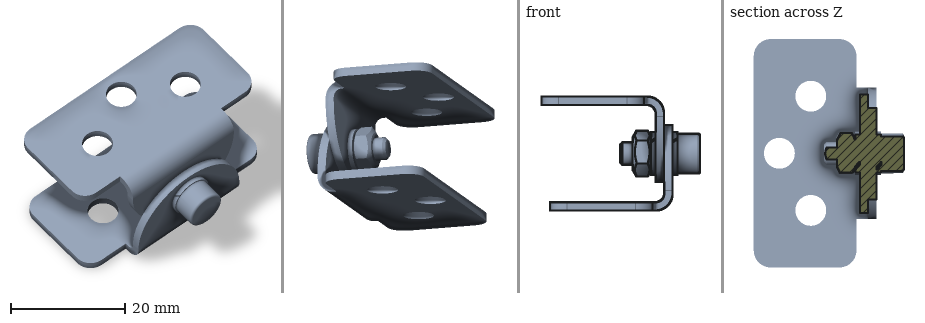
import cadquery as cq
import math


SHEET = 1.5
PLATE_WIDTH = 18.0
PLATE_LENGTH = 40.0
PLATE_CORNER_RADIUS = 3.0
PLATE_FACE_HEIGHT = 10.0
HOLE_DIAMETER = 5.4
EDGE_TO_MIDDLE_HOLE = 4.5
EDGE_TO_OUTER_HOLES = 10.0
OUTER_HOLE_OFFSET = 10.0
BEND_INNER_RADIUS = 1.5
BEND_OUTER_RADIUS = BEND_INNER_RADIUS + SHEET
NECK_LENGTH = 0.5
TAB_RADIUS = 11.5
TAB_REACH = 5.0
TAB_ARC_HEIGHT = TAB_RADIUS - TAB_REACH

WASHER_DIAMETER = 7.6
WASHER_THICKNESS = 0.8
SLIT_WIDTH = 0.2
SLIT_POSITION = 38.0
SLIT_SLANT = 35.0

SCREW_DIAMETER = 4.0
SCREW_LENGTH = 10.0
SCREW_TIP_CHAMFER = 0.45
HEAD_DIAMETER = 7.0
HEAD_HEIGHT = 4.0
HEAD_FILLET = 0.4

NUT_ACROSS_FLATS = 7.0
NUT_SIDES = 6
HALF_SIDE_ANGLE = 180 / NUT_SIDES
NUT_ACROSS_CORNERS = NUT_ACROSS_FLATS / math.cos(math.radians(HALF_SIDE_ANGLE))
NUT_HEIGHT = 3.2
NUT_TURN = 5.0
NUT_CHAMFER_ANGLE = 30.0
NUT_OUTER_FACE_RADIUS = 2.85
NUT_SEAT_FACE_RADIUS = 3.05
NUT_ENVELOPE_MARGIN = 0.1

HEAD_SEAT_X = SHEET + WASHER_THICKNESS
NUT_SEAT_X = -SHEET - WASHER_THICKNESS


def cylinder_along_x(start, length, diameter):
    return cq.Workplane("YZ").workplane(offset=start).circle(diameter / 2).extrude(length)


def make_plate(free_edge):
    """Flat mounting plate with three holes."""
    plate = (
        cq.Workplane("XY")
        .box(PLATE_WIDTH, PLATE_LENGTH, SHEET, centered=(False, True, False))
        .edges("|Z")
        .fillet(PLATE_CORNER_RADIUS)
        .translate((free_edge, 0, PLATE_FACE_HEIGHT - SHEET))
    )
    hole_centers = [
        (free_edge + EDGE_TO_MIDDLE_HOLE, 0),
        (free_edge + EDGE_TO_OUTER_HOLES, OUTER_HOLE_OFFSET),
        (free_edge + EDGE_TO_OUTER_HOLES, -OUTER_HOLE_OFFSET),
    ]
    holes = (
        cq.Workplane("XY")
        .pushPoints(hole_centers)
        .circle(HOLE_DIAMETER / 2)
        .extrude(PLATE_FACE_HEIGHT)
    )
    return plate.cut(holes)


def make_bend(plate_edge):
    """Neck and quarter bend joining the plate to the tab."""
    bend_x = -BEND_OUTER_RADIUS
    bend_z = PLATE_FACE_HEIGHT - BEND_OUTER_RADIUS
    diagonal = math.sqrt(0.5)
    outer_middle = (bend_x + BEND_OUTER_RADIUS * diagonal, bend_z + BEND_OUTER_RADIUS * diagonal)
    inner_middle = (bend_x + BEND_INNER_RADIUS * diagonal, bend_z + BEND_INNER_RADIUS * diagonal)
    return (
        cq.Workplane("XZ")
        .moveTo(plate_edge, PLATE_FACE_HEIGHT)
        .lineTo(bend_x, PLATE_FACE_HEIGHT)
        .threePointArc(outer_middle, (0, bend_z))
        .lineTo(-SHEET, bend_z)
        .threePointArc(inner_middle, (bend_x, PLATE_FACE_HEIGHT - SHEET))
        .lineTo(plate_edge, PLATE_FACE_HEIGHT - SHEET)
        .close()
        .extrude(TAB_RADIUS, both=True)
    )


def make_tab():
    """Upright tab with a half-round end."""
    top = PLATE_FACE_HEIGHT - BEND_OUTER_RADIUS
    return (
        cq.Workplane("YZ")
        .moveTo(-TAB_RADIUS, top)
        .lineTo(-TAB_RADIUS, TAB_ARC_HEIGHT)
        .threePointArc((0, -TAB_REACH), (TAB_RADIUS, TAB_ARC_HEIGHT))
        .lineTo(TAB_RADIUS, top)
        .close()
        .extrude(-SHEET)
    )


def make_bracket():
    """Upper bracket, its tab ending on the plane X = 0."""
    plate_edge = -BEND_OUTER_RADIUS - NECK_LENGTH
    plate = make_plate(plate_edge - PLATE_WIDTH)
    return plate.union(make_bend(plate_edge)).union(make_tab())


def make_spring_washer(start):
    """Washer split by one slanted slit."""
    washer = cylinder_along_x(start, WASHER_THICKNESS, WASHER_DIAMETER)
    slit_length = 3 * WASHER_THICKNESS
    slit = (
        cq.Workplane("XY")
        .box(slit_length, WASHER_DIAMETER, SLIT_WIDTH)
        .translate((0, -WASHER_DIAMETER / 2, 0))
        .rotate((0, 0, 0), (0, 1, 0), -SLIT_SLANT)
        .rotate((0, 0, 0), (1, 0, 0), -SLIT_POSITION)
        .translate((start + WASHER_THICKNESS / 2, 0, 0))
    )
    return washer.cut(slit)


def make_screw():
    """Cap screw with its head on the +X side."""
    head = (
        cylinder_along_x(HEAD_SEAT_X, HEAD_HEIGHT, HEAD_DIAMETER)
        .faces(">X")
        .edges()
        .fillet(HEAD_FILLET)
    )
    shank = (
        cylinder_along_x(HEAD_SEAT_X - SCREW_LENGTH, SCREW_LENGTH, SCREW_DIAMETER)
        .faces("<X")
        .edges()
        .chamfer(SCREW_TIP_CHAMFER)
    )
    return head.union(shank)


def make_nut():
    """Hexagon nut with conical chamfers on both faces."""
    hexagon = (
        cq.Workplane("YZ")
        .workplane(offset=NUT_SEAT_X)
        .polygon(NUT_SIDES, NUT_ACROSS_CORNERS)
        .extrude(-NUT_HEIGHT)
        .rotate((0, 0, 0), (1, 0, 0), HALF_SIDE_ANGLE - NUT_TURN)
    )
    envelope_radius = NUT_ACROSS_CORNERS / 2 + NUT_ENVELOPE_MARGIN
    slope = math.tan(math.radians(NUT_CHAMFER_ANGLE))
    outer_x = NUT_SEAT_X - NUT_HEIGHT
    outer_cone_length = (envelope_radius - NUT_OUTER_FACE_RADIUS) * slope
    seat_cone_length = (envelope_radius - NUT_SEAT_FACE_RADIUS) * slope
    envelope = (
        cq.Workplane("XY")
        .moveTo(outer_x, 0)
        .lineTo(outer_x, NUT_OUTER_FACE_RADIUS)
        .lineTo(outer_x + outer_cone_length, envelope_radius)
        .lineTo(NUT_SEAT_X - seat_cone_length, envelope_radius)
        .lineTo(NUT_SEAT_X, NUT_SEAT_FACE_RADIUS)
        .lineTo(NUT_SEAT_X, 0)
        .close()
        .revolve(360, (0, 0, 0), (1, 0, 0))
    )
    return hexagon.intersect(envelope)


upper_bracket = make_bracket()
lower_bracket = upper_bracket.rotate((0, 0, 0), (1, 0, 0), 180).translate((SHEET, 0, 0))

result = (
    upper_bracket
    .union(lower_bracket)
    .union(make_spring_washer(SHEET))
    .union(make_spring_washer(NUT_SEAT_X))
    .union(make_screw())
    .union(make_nut())
)